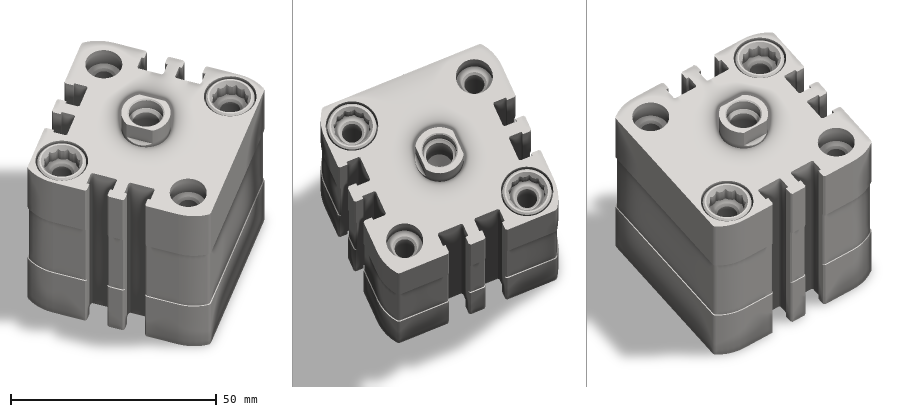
import cadquery as cq
import math

WIDTH = 47.0
TOTAL_HEIGHT = 55.0
ROD_PROTRUSION = 6.0
HOUSING_HEIGHT = TOTAL_HEIGHT - ROD_PROTRUSION

CAP_HEIGHT = 14.95
BARREL_HEIGHT = HOUSING_HEIGHT - 2 * CAP_HEIGHT
BARREL_INSET = 0.3

CORNER_RADIUS = 12.0
CORNER_LENGTH = 7.35
BLEND_RADIUS = 1.1

SLOT_OFFSET = 4.85
SLOT_NECK = 5.3
SLOT_WIDTH = 6.7
SLOT_DEPTH = 5.9
SLOT_LIP = 2.35
LIP_CHAMFER = 0.4
FLOOR_CHAMFER = 0.35

SCREW_OFFSET = 16.2
SCREW_BORE = 4.9
SCREW_ENTRY = 6.0
ENTRY_CHAMFER = (SCREW_ENTRY - SCREW_BORE) / 2

COUNTERBORE_DIAMETER = 9.0
COUNTERBORE_DEPTH = 5.0

GAP_DIAMETER = 12.8
COLLAR_DIAMETER = 11.9
COLLAR_CHAMFER = 0.45
SOCKET_MOUTH = 10.2
SOCKET_BORE = 8.5
HEXAGON_ACROSS_FLATS = 8.0
HEXAGON_TURN = 360 / 12
SOCKET_DEPTH = 4.5
SOCKET_TAPER_ANGLE = 30.0

ROD_DIAMETER = 12.0
ROD_BOTTOM = HOUSING_HEIGHT - CAP_HEIGHT
FLAT_ACROSS = 10.0
FLAT_LENGTH = 4.85
FLAT_RUNOUT_ANGLE = 30.0
ROD_MOUTH = 9.0
ROD_COUNTERBORE = 8.4
ROD_COUNTERBORE_DEPTH = 3.2
ROD_BORE_MOUTH = 8.0
ROD_BORE = 6.65
ROD_BORE_DEPTH = 12.0
DRILL_HALF_ANGLE = 60.0


def section(bottom, height, inset):
    """One length of the housing, with every outer face moved inward by the inset."""
    half = WIDTH / 2 - inset
    radius = CORNER_RADIUS - inset
    center_x = WIDTH / 2 - CORNER_LENGTH
    center_y = WIDTH / 2 - CORNER_RADIUS
    reach = half - center_x
    edge_y = center_y + math.sqrt(radius**2 - reach**2)
    middle_angle = math.asin(reach / radius) / 2
    middle_x = center_x + radius * math.sin(middle_angle)
    middle_y = center_y + radius * math.cos(middle_angle)
    block = (
        cq.Workplane("XY", origin=(0, 0, bottom))
        .moveTo(-center_x, half)
        .lineTo(center_x, half)
        .threePointArc((middle_x, middle_y), (half, edge_y))
        .lineTo(half, -edge_y)
        .threePointArc((middle_x, -middle_y), (center_x, -half))
        .lineTo(-center_x, -half)
        .threePointArc((-middle_x, -middle_y), (-half, -edge_y))
        .lineTo(-half, edge_y)
        .threePointArc((-middle_x, middle_y), (-center_x, half))
        .close()
        .extrude(height)
    )
    block = block.edges("|Z and (<X or >X)").fillet(BLEND_RADIUS)
    for side_angle in (0, 180, 270):
        for offset in (-SLOT_OFFSET, SLOT_OFFSET):
            slot = slot_cutter(bottom, height, half, offset)
            block = block.cut(slot.rotate((0, 0, 0), (0, 0, 1), side_angle))
    return block


def slot_cutter(bottom, height, face, offset):
    """T-slot opening through the -Y face, with chamfered lips and floor corners."""
    floor = -WIDTH / 2 + SLOT_DEPTH
    lip = -WIDTH / 2 + SLOT_LIP
    neck = SLOT_NECK / 2
    right_side = [
        (neck + LIP_CHAMFER, -face),
        (neck, -face + LIP_CHAMFER),
        (neck, lip),
        (SLOT_WIDTH / 2, lip),
        (SLOT_WIDTH / 2, floor - FLOOR_CHAMFER),
        (SLOT_WIDTH / 2 - FLOOR_CHAMFER, floor),
    ]
    left_side = [(-x, y) for x, y in reversed(right_side)]
    return (
        cq.Workplane("XY", origin=(0, 0, bottom))
        .polyline(right_side + left_side)
        .close()
        .extrude(height)
        .translate((offset, 0, 0))
    )


def revolved(profile):
    """Solid of revolution about Z from (radius, height) points, closed along the axis."""
    start = [] if profile[0][0] == 0 else [(0, profile[0][1])]
    points = start + profile + [(0, profile[-1][1])]
    return cq.Workplane("XZ").polyline(points).close().revolve(360, (0, 0, 0), (0, 1, 0))


def screw_bore(seat):
    """Through bore whose upper end is chamfered at the given seat height."""
    return revolved([
        (SCREW_BORE / 2, 0),
        (SCREW_BORE / 2, seat - ENTRY_CHAMFER),
        (SCREW_ENTRY / 2, seat),
    ])


def counterbored_hole():
    """Open counterbore above a through bore, as one cutting shape."""
    seat = HOUSING_HEIGHT - COUNTERBORE_DEPTH
    base = cq.Workplane("XY", origin=(0, 0, seat))
    pocket = base.circle(COUNTERBORE_DIAMETER / 2).extrude(COUNTERBORE_DEPTH)
    return pocket.union(screw_bore(seat))


def socket_collar_cut():
    """Gap around the collar, twelve-point socket and bore, as one cutting shape."""
    seat = HOUSING_HEIGHT - SOCKET_DEPTH
    base = cq.Workplane("XY", origin=(0, 0, seat))
    collar = base.circle(COLLAR_DIAMETER / 2).extrude(SOCKET_DEPTH)
    collar = collar.faces(">Z").chamfer(COLLAR_CHAMFER)
    cutter = base.circle(GAP_DIAMETER / 2).extrude(SOCKET_DEPTH).cut(collar)

    taper_depth = (SOCKET_MOUTH - SOCKET_BORE) / 2 / math.tan(math.radians(SOCKET_TAPER_ANGLE))
    socket = revolved([
        (SOCKET_BORE / 2, seat),
        (SOCKET_BORE / 2, HOUSING_HEIGHT - taper_depth),
        (SOCKET_MOUTH / 2, HOUSING_HEIGHT),
    ])

    hexagon = base.polygon(6, HEXAGON_ACROSS_FLATS / math.cos(math.pi / 6)).extrude(SOCKET_DEPTH)
    socket = socket.union(hexagon).union(hexagon.rotate((0, 0, 0), (0, 0, 1), HEXAGON_TURN))
    return cutter.union(socket).union(screw_bore(seat))


def make_housing():
    """End caps and barrel in one solid, with the screw holes and the seat of the rod."""
    body = section(0, CAP_HEIGHT, 0)
    body = body.union(section(CAP_HEIGHT, BARREL_HEIGHT, BARREL_INSET))
    body = body.union(section(CAP_HEIGHT + BARREL_HEIGHT, CAP_HEIGHT, 0)).clean()
    for side in (-1, 1):
        x = side * SCREW_OFFSET
        body = body.cut(counterbored_hole().translate((x, -x, 0)))
        body = body.cut(socket_collar_cut().translate((x, x, 0)))
    rod_seat = cq.Workplane("XY", origin=(0, 0, ROD_BOTTOM)).circle(ROD_DIAMETER / 2)
    return body.cut(rod_seat.extrude(HOUSING_HEIGHT - ROD_BOTTOM))


def make_rod():
    """Piston rod with wrench flats and a threaded end bore."""
    length = TOTAL_HEIGHT - ROD_BOTTOM
    rod = cq.Workplane("XY", origin=(0, 0, ROD_BOTTOM)).circle(ROD_DIAMETER / 2).extrude(length)

    flat_bottom = TOTAL_HEIGHT - FLAT_LENGTH
    inner = FLAT_ACROSS / 2
    outer = ROD_DIAMETER / 2
    runout = (outer - inner) * math.tan(math.radians(FLAT_RUNOUT_ANGLE))
    flat = (
        cq.Workplane("YZ")
        .polyline([
            (inner, TOTAL_HEIGHT),
            (inner, flat_bottom),
            (outer, flat_bottom - runout),
            (outer, TOTAL_HEIGHT),
        ])
        .close()
        .extrude(ROD_DIAMETER / 2, both=True)
    )
    rod = rod.cut(flat).cut(flat.mirror("XZ"))

    tip_depth = ROD_BORE / 2 / math.tan(math.radians(DRILL_HALF_ANGLE))
    lead_depth = (ROD_BORE_MOUTH - ROD_BORE) / 2
    mouth_depth = (ROD_MOUTH - ROD_COUNTERBORE) / 2
    step = TOTAL_HEIGHT - ROD_COUNTERBORE_DEPTH
    bore_bottom = TOTAL_HEIGHT - ROD_BORE_DEPTH
    bore = revolved([
        (0, bore_bottom - tip_depth),
        (ROD_BORE / 2, bore_bottom),
        (ROD_BORE / 2, step - lead_depth),
        (ROD_BORE_MOUTH / 2, step),
        (ROD_COUNTERBORE / 2, step),
        (ROD_COUNTERBORE / 2, TOTAL_HEIGHT - mouth_depth),
        (ROD_MOUTH / 2, TOTAL_HEIGHT),
    ])
    return rod.cut(bore)


housing = make_housing()
rod = make_rod()
result = cq.Compound.makeCompound([housing.val(), rod.val()])